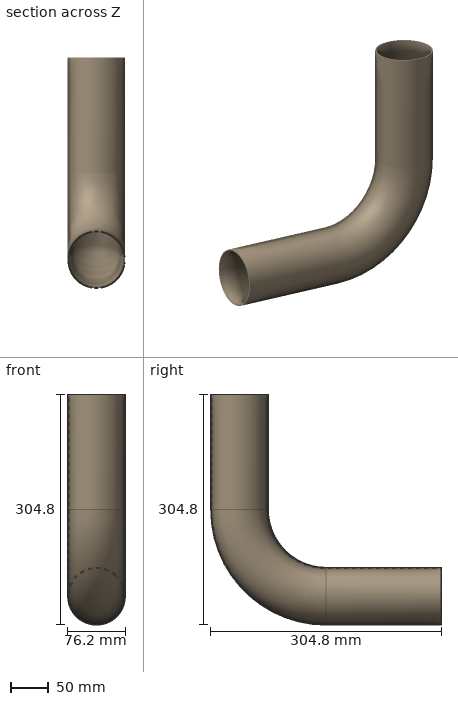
import cadquery as cq
import math

outer_diameter = 76.2
inner_diameter = 73.0
overall_length = 304.8
leg_length = 152.5

bend_radius = overall_length - leg_length - outer_diameter / 2
diagonal_offset = bend_radius * (1 - math.cos(math.radians(45)))

centreline_end = bend_radius + leg_length
centreline = (
    cq.Workplane("YZ")
    .moveTo(0, centreline_end)
    .lineTo(0, bend_radius)
    .threePointArc((diagonal_offset, diagonal_offset), (bend_radius, 0))
    .lineTo(centreline_end, 0)
)

result = (
    cq.Workplane("XY", origin=(0, 0, centreline_end))
    .circle(outer_diameter / 2)
    .circle(inner_diameter / 2)
    .sweep(centreline)
)